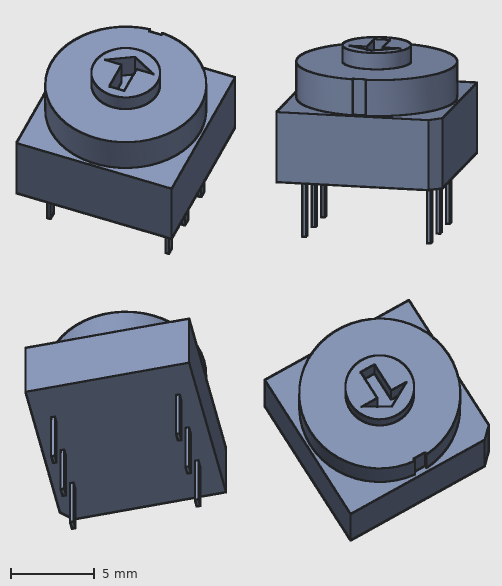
import cadquery as cq

body_side = 10.0
body_height = 4.3
corner_chamfer = 0.7

disc_diameter = 9.6
disc_height = 2.2
notch_width = 0.8
notch_floor_y = 4.62

knob_diameter = 4.1
knob_height = 1.0
arrow_depth = 1.5
arrow_tip_y = 1.42
arrow_shoulder_y = 0.52
arrow_head_width = 3.12
arrow_stem_width = 0.96

pin_thickness = 0.22
pin_width = 0.52
pin_length = 3.8
pin_pitch = 2.54
pin_row_spacing = 3 * pin_pitch
pins_per_row = 3

disc_top = body_height + disc_height
knob_top = disc_top + knob_height


def make_body():
    """Square block with the vertical corner at -X, +Y chamfered."""
    block = cq.Workplane("XY").rect(body_side, body_side).extrude(body_height)
    return block.edges("|Z and <X and >Y").chamfer(corner_chamfer)


def make_disc():
    """Round disc on the body, its rim notched over the full disc height."""
    disc = cq.Workplane("XY").workplane(offset=body_height).circle(disc_diameter / 2).extrude(disc_height)
    notch_reach = body_side / 2 - notch_floor_y
    notch = (
        cq.Workplane("XY")
        .workplane(offset=body_height)
        .center(0, notch_floor_y + notch_reach / 2)
        .rect(notch_width, notch_reach)
        .extrude(disc_height)
    )
    return disc.cut(notch)


def make_knob():
    """Round knob standing on the disc."""
    return cq.Workplane("XY").workplane(offset=disc_top).circle(knob_diameter / 2).extrude(knob_height)


def make_arrow_recess():
    """Cutter for the arrow recess, pointing toward +Y."""
    head = arrow_head_width / 2
    stem = arrow_stem_width / 2
    outline = [
        (0, arrow_tip_y),
        (head, arrow_shoulder_y),
        (stem, arrow_shoulder_y),
        (stem, -arrow_tip_y),
        (-stem, -arrow_tip_y),
        (-stem, arrow_shoulder_y),
        (-head, arrow_shoulder_y),
    ]
    return cq.Workplane("XY").workplane(offset=knob_top).polyline(outline).close().extrude(-arrow_depth)


def make_pins():
    """Flat pins hanging from the underside of the body."""
    return (
        cq.Workplane("XY")
        .rarray(pin_row_spacing, pin_pitch, 2, pins_per_row)
        .rect(pin_thickness, pin_width)
        .extrude(-pin_length)
    )


result = make_body().union(make_disc()).union(make_knob()).union(make_pins()).cut(make_arrow_recess())